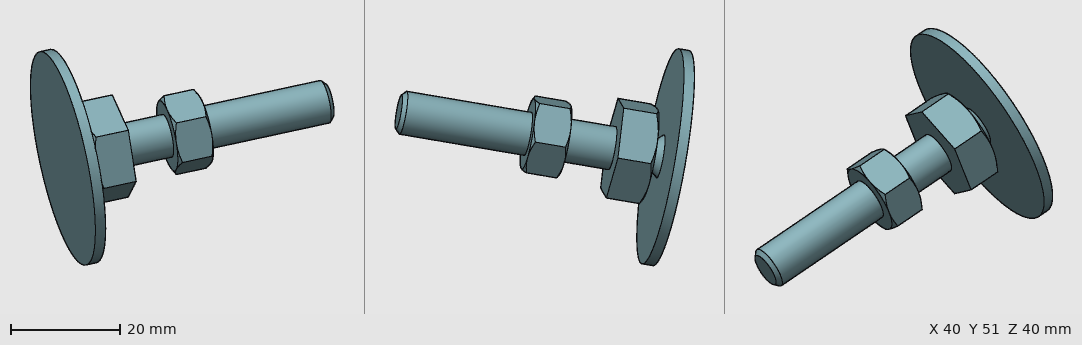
import cadquery as cq
import math

total_length = 51.0

foot_diameter = 40.0
foot_thickness = 2.0
cone_height = 2.1
cone_top_radius = 2.15

stud_diameter = 8.0
stud_end_chamfer = 0.8

head_across_flats = 17.0
head_height = 6.95

nut_across_flats = 13.1
nut_height = 6.85
nut_start = 20.0

hex_chamfer_angle = 30.0

stud_radius = stud_diameter / 2
cone_base_radius = stud_radius
head_start = foot_thickness + cone_height
head_end = head_start + head_height


def cylinder(radius, start, end):
    """Cylinder along Y between two stations."""
    return cq.Workplane("XZ", origin=(0, start, 0)).circle(radius).extrude(start - end)


def chamfered_hexagon(across_flats, start, height, chamfer_far_end):
    """Hexagonal prism along Y, corners on the X axis, with conically chamfered end corners."""
    flat_radius = across_flats / 2
    corner_radius = flat_radius / math.cos(math.radians(30))
    corner_drop = (corner_radius - flat_radius) * math.tan(math.radians(hex_chamfer_angle))
    end = start + height

    prism = cq.Workplane("XZ", origin=(0, start, 0)).polygon(6, 2 * corner_radius).extrude(-height)
    envelope = (
        cq.Workplane("XY")
        .moveTo(0, start)
        .lineTo(flat_radius, start)
        .lineTo(corner_radius, start + corner_drop)
    )
    if chamfer_far_end:
        envelope = envelope.lineTo(corner_radius, end - corner_drop).lineTo(flat_radius, end)
    else:
        envelope = envelope.lineTo(corner_radius, end)
    envelope = envelope.lineTo(0, end).close().revolve(360, (0, 0, 0), (0, 1, 0))
    return prism.intersect(envelope)


def make_foot():
    """Round plate with a conical neck that meets the screw head."""
    return (
        cq.Workplane("XY")
        .moveTo(0, 0)
        .lineTo(foot_diameter / 2, 0)
        .lineTo(foot_diameter / 2, foot_thickness)
        .lineTo(cone_base_radius, foot_thickness)
        .lineTo(cone_top_radius, head_start)
        .lineTo(0, head_start)
        .close()
        .revolve(360, (0, 0, 0), (0, 1, 0))
    )


def make_screw():
    """Hexagon head, chamfered on the foot side, with a plain stud chamfered at its tip."""
    head = chamfered_hexagon(head_across_flats, head_start, head_height, chamfer_far_end=False)
    stud = cylinder(stud_radius, head_end, total_length).faces(">Y").chamfer(stud_end_chamfer)
    return head.union(stud)


def make_nut():
    """Lock nut, chamfered at both ends, bored to fit the stud."""
    nut = chamfered_hexagon(nut_across_flats, nut_start, nut_height, chamfer_far_end=True)
    return nut.cut(cylinder(stud_radius, nut_start, nut_start + nut_height))


foot = make_foot()
screw = make_screw()
nut = make_nut()

result = cq.Compound.makeCompound([foot.val(), screw.val(), nut.val()])